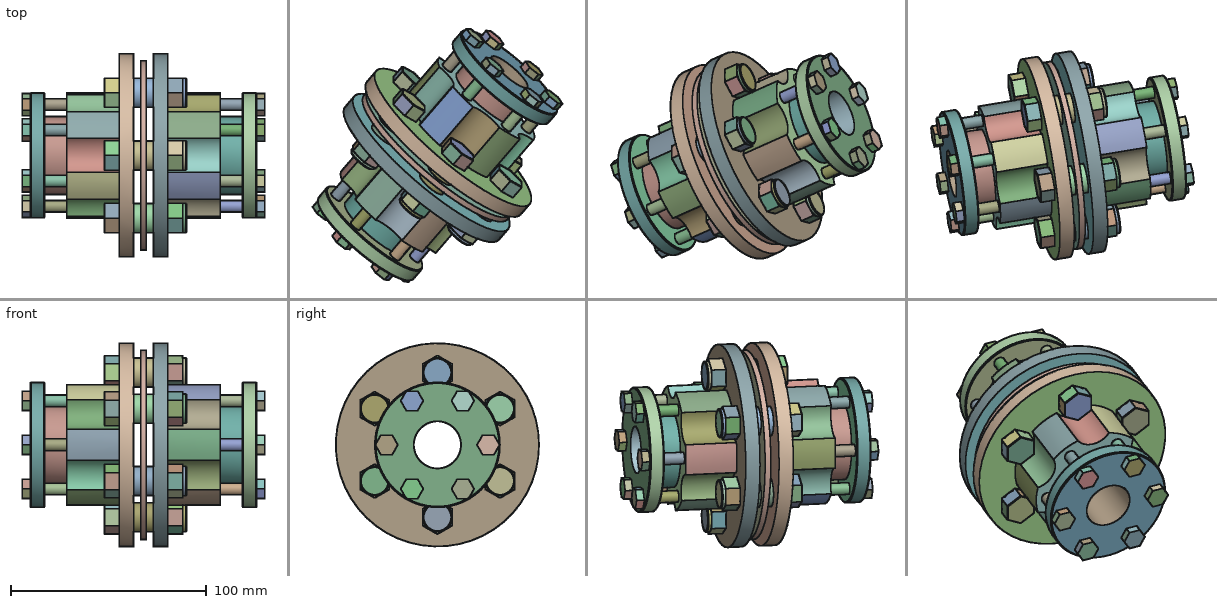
import cadquery as cq
import math


bore_diameter = 24.0
fastener_count = 6

disc_thickness = 3.0
flange_inner_face = 5.0
flange_thickness = 7.5
flange_outer_face = flange_inner_face + flange_thickness
body_end = 39.25
collar_thickness = 7.5
collar_inner_face = 50.5
collar_outer_face = collar_inner_face + collar_thickness
screw_head_height = 4.0

flange_diameter = 104.0
disc_diameter = 97.0
body_diameter = 64.0
neck_diameter = 40.0
collar_diameter = 64.0
collar_edge_chamfer = 0.5

bolt_circle_radius = 37.0
bolt_diameter = 15.0
bolt_hex_flats = 15.0
bolt_head_height = 7.5
bolt_end_beyond_nut = 2.0
bolt_edge_chamfer = 0.5
head_edge_chamfer = 0.3
bolt_start_angle = 90.0

groove_radius = 10.7

screw_circle_radius = 26.0
screw_diameter = 6.0
screw_hex_flats = 10.0
screw_start_angle = 0.0


def circle_positions(radius, start_angle):
    """Return evenly spaced (y, z) positions around the X axis."""
    positions = []
    for index in range(fastener_count):
        angle = math.radians(start_angle + index * 360.0 / fastener_count)
        positions.append((radius * math.cos(angle), radius * math.sin(angle)))
    return positions


bolt_positions = circle_positions(bolt_circle_radius, bolt_start_angle)
screw_positions = circle_positions(screw_circle_radius, screw_start_angle)


def cylinders(diameter, x_start, x_end, positions=((0.0, 0.0),)):
    """Cylinders along X, one at each (y, z) position."""
    plane = cq.Workplane("YZ", origin=(x_start, 0, 0))
    return plane.pushPoints(positions).circle(diameter / 2).extrude(x_end - x_start)


def hexagons(across_flats, x_start, x_end, positions, corner_angle):
    """Hexagonal prisms along X; corner_angle turns a corner away from the Y axis."""
    corner_radius = across_flats / math.sqrt(3)
    corners = []
    for index in range(6):
        angle = math.radians(corner_angle + 60.0 * index)
        corners.append((corner_radius * math.cos(angle), corner_radius * math.sin(angle)))
    prisms = cq.Workplane("YZ")
    for y, z in positions:
        plane = cq.Workplane("YZ", origin=(x_start, y, z))
        prisms = prisms.add(plane.polyline(corners).close().extrude(x_end - x_start))
    return prisms.combine()


def make_hub():
    """The hub on the +X side: flange, grooved body, neck, collar and screws."""
    flange = cylinders(flange_diameter, flange_inner_face, flange_outer_face)

    body = cylinders(body_diameter, flange_outer_face, body_end)
    grooves = cylinders(2 * groove_radius, flange_outer_face, body_end, bolt_positions)
    body = body.cut(grooves)

    neck = cylinders(neck_diameter, body_end, collar_inner_face)

    collar = cylinders(collar_diameter, collar_inner_face, collar_outer_face)
    collar = collar.edges().chamfer(collar_edge_chamfer)

    screw_shanks = cylinders(screw_diameter, body_end, collar_inner_face, screw_positions)
    screw_heads_end = collar_outer_face + screw_head_height
    screw_heads = hexagons(
        screw_hex_flats, collar_outer_face, screw_heads_end, screw_positions, corner_angle=0.0
    )

    hub = flange.union(body).union(neck).union(collar).union(screw_shanks).union(screw_heads)
    bore = cylinders(bore_diameter, flange_inner_face, collar_outer_face)
    bolt_holes = cylinders(bolt_diameter, flange_inner_face, flange_outer_face, bolt_positions)
    return hub.cut(bore).cut(bolt_holes)


def make_disc():
    """The thin disc in the middle, with the bore and the bolt holes."""
    half_thickness = disc_thickness / 2
    disc = cylinders(disc_diameter, -half_thickness, half_thickness)
    bore = cylinders(bore_diameter, -half_thickness, half_thickness)
    bolt_holes = cylinders(bolt_diameter, -half_thickness, half_thickness, bolt_positions)
    return disc.cut(bore).cut(bolt_holes)


def make_bolt(position):
    """A bolt with its head on the -X side and its nut on the +X side."""
    head_end = flange_outer_face + bolt_head_height
    shank = cylinders(bolt_diameter, -flange_outer_face, head_end + bolt_end_beyond_nut, [position])
    shank = shank.faces(">X").chamfer(bolt_edge_chamfer)
    head = hexagons(bolt_hex_flats, -head_end, -flange_outer_face, [position], corner_angle=90.0)
    head = head.faces("<X").chamfer(head_edge_chamfer)
    nut = hexagons(bolt_hex_flats, flange_outer_face, head_end, [position], corner_angle=90.0)
    return shank.union(head).union(nut)


right_hub = make_hub()
left_hub = right_hub.mirror("YZ")
disc = make_disc()
bolts = [make_bolt(position) for position in bolt_positions]

result = cq.Compound.makeCompound(
    [right_hub.val(), left_hub.val(), disc.val()] + [bolt.val() for bolt in bolts]
)